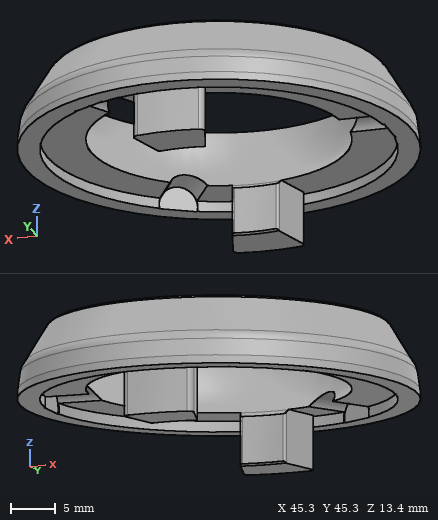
import cadquery as cq
import math

outer_radius = 22.65
ring_height = 8.43
leg_length = 5.0

base_band_height = 0.95
shoulder_radius = 22.4
shoulder_height = 2.9
cone_start_radius = 21.93
cone_start_height = 3.95
cone_end_radius = 19.4
cone_end_height = 8.15
rim_radius = 19.05
blend_bulge = 0.1

bore_top_radius = 17.25
bore_middle_radius = 16.1
bore_middle_height = 2.75
lip_radius = 14.95
lip_height = 1.22

recess_radius = 20.1

notch_radius = 2.2
notch_axis_height = bore_middle_height - notch_radius
notch_angles = (60, 180, 300)

leg_inner_radius = 14.22
leg_inner_half_width = 2.67
leg_outer_half_width = 4.3
leg_shoulder_height = 0.65
leg_outer_fillet = 0.7
leg_inner_fillet = 0.25
leg_foot_chamfer = 0.23
leg_angles = (90, 270)


def make_ring():
    blend_middle = (
        (shoulder_radius + cone_start_radius) / 2 + blend_bulge,
        (shoulder_height + cone_start_height) / 2,
    )
    profile = (
        cq.Workplane("XZ")
        .moveTo(recess_radius, 0)
        .lineTo(outer_radius, 0)
        .lineTo(outer_radius, base_band_height)
        .lineTo(shoulder_radius, shoulder_height)
        .threePointArc(blend_middle, (cone_start_radius, cone_start_height))
        .lineTo(cone_end_radius, cone_end_height)
        .lineTo(rim_radius, ring_height)
        .lineTo(bore_top_radius, ring_height)
        .threePointArc((bore_middle_radius, bore_middle_height), (lip_radius, lip_height))
        .lineTo(recess_radius, lip_height)
        .close()
    )
    return profile.revolve(360, (0, 0, 0), (0, 1, 0))


def make_notch(angle):
    """Radial cylinder that opens the lip and ends at the recess wall."""
    notch = (
        cq.Workplane("YZ")
        .center(0, notch_axis_height)
        .circle(notch_radius)
        .extrude(recess_radius)
    )
    return notch.rotate((0, 0, 0), (0, 0, 1), angle)


def make_leg(angle):
    """Curved wedge centred on +X, then turned into place."""
    inner_corner_x = math.sqrt(leg_inner_radius**2 - leg_inner_half_width**2)
    outer_corner_x = math.sqrt(recess_radius**2 - leg_outer_half_width**2)
    inner_corner = (inner_corner_x, -leg_inner_half_width)
    leg = (
        cq.Workplane("XY")
        .workplane(offset=-leg_length)
        .moveTo(*inner_corner)
        .lineTo(outer_corner_x, -leg_outer_half_width)
        .threePointArc((recess_radius, 0), (outer_corner_x, leg_outer_half_width))
        .lineTo(inner_corner_x, leg_inner_half_width)
        .threePointArc((leg_inner_radius, 0), inner_corner)
        .close()
        .extrude(leg_length + lip_height)
    )
    leg = leg.edges("|Z").edges(">X").fillet(leg_outer_fillet)
    leg = leg.edges("|Z").edges("<X").fillet(leg_inner_fillet)

    envelope = (
        cq.Workplane("XZ")
        .moveTo(leg_inner_radius + leg_foot_chamfer, -leg_length)
        .lineTo(recess_radius, -leg_length)
        .lineTo(recess_radius, lip_height)
        .lineTo(lip_radius, lip_height)
        .lineTo(leg_inner_radius, leg_shoulder_height)
        .lineTo(leg_inner_radius, leg_foot_chamfer - leg_length)
        .close()
        .revolve(360, (0, 0, 0), (0, 1, 0))
    )
    return leg.intersect(envelope).rotate((0, 0, 0), (0, 0, 1), angle)


result = make_ring()
for notch_angle in notch_angles:
    result = result.cut(make_notch(notch_angle))
for leg_angle in leg_angles:
    result = result.union(make_leg(leg_angle))